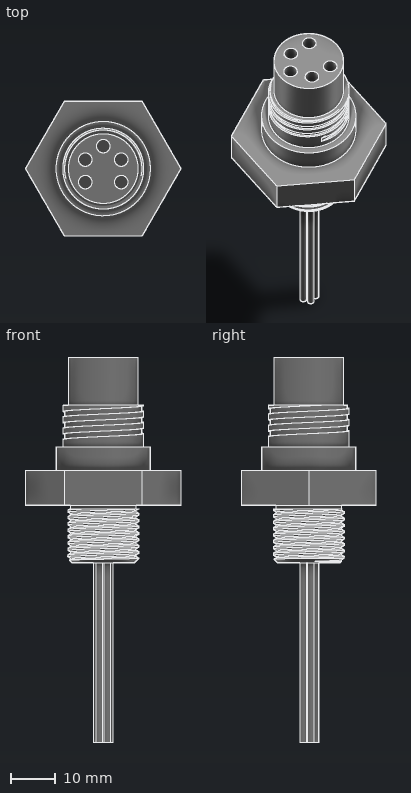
import cadquery as cq
import math

HEX_SIDES = 6
HEX_ACROSS_FLATS = 30.0
HEX_HEIGHT = 7.8
HEX_ACROSS_CORNERS = HEX_ACROSS_FLATS / math.cos(math.pi / HEX_SIDES)

SHOULDER_DIAMETER = 21.0
SHOULDER_HEIGHT = 5.2
COLLAR_DIAMETER = 18.0
COLLAR_HEIGHT = 9.3
INSERT_DIAMETER = 15.5
INSERT_HEIGHT = 10.6
SHOULDER_TOP = HEX_HEIGHT + SHOULDER_HEIGHT
COLLAR_TOP = SHOULDER_TOP + COLLAR_HEIGHT

COLLAR_GROOVE_PITCH = 2.5
COLLAR_GROOVE_WIDTH = 1.2
COLLAR_GROOVE_DEPTH = 0.4
COLLAR_GROOVE_START = 2.3
COLLAR_GROOVE_TURN = 180.0

SOCKET_DIAMETER = 3.0
SOCKET_DEPTH = 10.0
SOCKET_CENTRES = [(0, 5), (-4, 2), (-4, -3), (4, -3), (4, 2)]

STEM_LENGTH = 12.8
STEM_MAJOR_DIAMETER = 15.8
STEM_MINOR_DIAMETER = 14.64
STEM_PITCH = 1.42
STEM_CREST_WIDTH = 0.4
STEM_ROOT_WIDTH = 0.3
STEM_RELIEF_HEIGHT = 0.75
STEM_CHAMFER = 0.95
STEM_THREAD_TURN = -45.0

WIRE_COUNT = 5
WIRE_DIAMETER = 1.5
WIRE_CIRCLE_RADIUS = 1.5
WIRE_LENGTH = 40.0
FIRST_WIRE_ANGLE = 90.0

CUT_CLEARANCE = 0.3


def cylinder(diameter, bottom, height):
    return cq.Workplane("XY").workplane(offset=bottom).circle(diameter / 2).extrude(height)


def cut_helical_groove(blank, section, pitch, bottom, turns, start_angle):
    """Cut a right-hand groove, one turn at a time, with a (radius, z) section centred on z = 0."""
    path = cq.Workplane(cq.Wire.makeHelix(pitch, pitch, section[0][0]))
    one_turn = cq.Workplane("XZ").polyline(section).close().sweep(path, isFrenet=True)
    one_turn = one_turn.rotate((0, 0, 0), (0, 0, 1), start_angle)
    for turn in range(turns):
        blank = blank.cut(one_turn.translate((0, 0, bottom + turn * pitch)))
    return blank


def make_collar():
    radius = COLLAR_DIAMETER / 2
    root = radius - COLLAR_GROOVE_DEPTH
    outside = radius + CUT_CLEARANCE
    half_width = COLLAR_GROOVE_WIDTH / 2
    section = [(root, -half_width), (outside, -half_width), (outside, half_width), (root, half_width)]
    start_z = SHOULDER_TOP + COLLAR_GROOVE_START
    turns = math.ceil((COLLAR_HEIGHT - COLLAR_GROOVE_START) / COLLAR_GROOVE_PITCH) + 1
    collar = cylinder(COLLAR_DIAMETER, SHOULDER_TOP, COLLAR_HEIGHT)
    collar = cut_helical_groove(collar, section, COLLAR_GROOVE_PITCH, start_z, turns, COLLAR_GROOVE_TURN)

    runout_depth = outside - root
    runout = cq.Workplane("XY").box(
        runout_depth, radius, COLLAR_GROOVE_WIDTH, centered=(False, False, True)
    )
    runout = runout.translate((-outside, 0, start_z))
    return collar.cut(runout)


def make_stem():
    major = STEM_MAJOR_DIAMETER / 2
    minor = STEM_MINOR_DIAMETER / 2
    outside = major + CUT_CLEARANCE
    half_root = STEM_ROOT_WIDTH / 2
    half_mouth = (STEM_PITCH - STEM_CREST_WIDTH) / 2
    flank_slope = (half_mouth - half_root) / (major - minor)
    half_outside = half_mouth + flank_slope * CUT_CLEARANCE
    section = [(minor, -half_root), (outside, -half_outside), (outside, half_outside), (minor, half_root)]
    threaded_length = STEM_LENGTH - STEM_RELIEF_HEIGHT
    stem = cylinder(STEM_MAJOR_DIAMETER, -STEM_LENGTH, threaded_length).faces("<Z").chamfer(STEM_CHAMFER)
    start_z = -STEM_LENGTH - STEM_PITCH
    turns = math.ceil(STEM_LENGTH / STEM_PITCH) + 2
    stem = cut_helical_groove(stem, section, STEM_PITCH, start_z, turns, STEM_THREAD_TURN)
    return stem.union(cylinder(STEM_MINOR_DIAMETER, -STEM_RELIEF_HEIGHT, STEM_RELIEF_HEIGHT))


def make_wires():
    bundle = cq.Workplane("XY").workplane(offset=-STEM_LENGTH)
    bundle = bundle.polarArray(WIRE_CIRCLE_RADIUS, FIRST_WIRE_ANGLE, 360, WIRE_COUNT)
    return bundle.circle(WIRE_DIAMETER / 2).extrude(-WIRE_LENGTH)


def make_sockets():
    top = cq.Workplane("XY").workplane(offset=COLLAR_TOP + INSERT_HEIGHT)
    return top.pushPoints(SOCKET_CENTRES).circle(SOCKET_DIAMETER / 2).extrude(-SOCKET_DEPTH)


body = cq.Workplane("XY").polygon(HEX_SIDES, HEX_ACROSS_CORNERS).extrude(HEX_HEIGHT)
body = body.union(cylinder(SHOULDER_DIAMETER, HEX_HEIGHT, SHOULDER_HEIGHT))
body = body.union(make_collar())
body = body.union(cylinder(INSERT_DIAMETER, COLLAR_TOP, INSERT_HEIGHT))
body = body.union(make_stem())
body = body.union(make_wires())
result = body.cut(make_sockets())